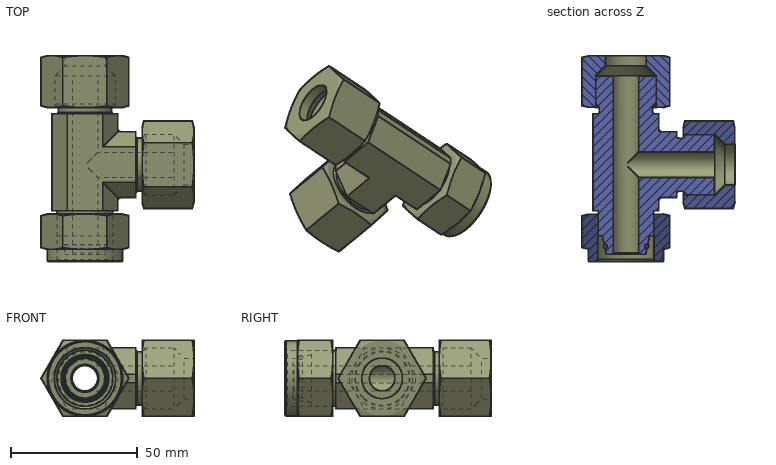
import cadquery as cq
import math

block_height = 24.2
block_width = 26.0
run_front = 18.2
arm_reach = 20.1
corner_web = 1.2
bore_radius = 5.0

nut_flats = 30.0
nut_start = 22.5
nut_end = 43.0
hex_face_radius = 14.8
hex_chamfer_depth = 0.7
thread_radius = 12.0
tube_radius = 8.0
bore_taper_end = 39.0

relief_radius = 10.55
relief_root_radius = 10.9
relief_root_length = 0.6
relief_end = nut_start
stub_end = 35.0

spigot_radius = 11.05
cone_half_angle = 12.0
cone_tip = 35.3
cone_tip_radius = 7.85
cone_base_radius = 9.4
bore_chamfer = 0.5

ring_section_radius = 0.75
ring_outer_radius = 9.0
ring_offset = 3.1

swivel_start = 19.4
swivel_hex_end = 33.4
swivel_end = 38.35
collar_radius = 14.9
collar_chamfer = 0.5
mouth_radius = 12.1
mouth_chamfer_depth = 1.0

cone_length = (cone_base_radius - cone_tip_radius) / math.tan(math.radians(cone_half_angle))
spigot_end = cone_tip - cone_length
ring_radius = ring_outer_radius - ring_section_radius
ring_position = cone_tip - ring_offset


def hexagon(across_flats, start, end):
    """Hexagonal bar along Z with corners on the X axis."""
    across_corners = across_flats / math.cos(math.pi / 6)
    return cq.Workplane("XY").workplane(offset=start).polygon(6, across_corners).extrude(end - start)


def revolved(points):
    """Solid of revolution about Z from (radius, height) points."""
    return cq.Workplane("XZ").polyline(points).close().revolve(360, (0, 0, 0), (0, 1, 0))


def cylinder(radius, start, end):
    return cq.Workplane("XY").workplane(offset=start).circle(radius).extrude(end - start)


def toward_front(shape):
    return shape.rotate((0, 0, 0), (1, 0, 0), 90)


def toward_back(shape):
    return shape.rotate((0, 0, 0), (1, 0, 0), -90)


def toward_branch(shape):
    return toward_back(shape).rotate((0, 0, 0), (0, 0, 1), -90)


def chamfered_hexagon(start, end):
    """Nut hexagon with the corners turned off conically at both ends."""
    corner_radius = nut_flats / 2 / math.cos(math.pi / 6)
    envelope = revolved([
        (0, start),
        (hex_face_radius, start),
        (corner_radius, start + hex_chamfer_depth),
        (corner_radius, end - hex_chamfer_depth),
        (hex_face_radius, end),
        (0, end),
    ])
    return hexagon(nut_flats, start, end).intersect(envelope)


def make_tube_nut():
    opening = revolved([
        (0, nut_start),
        (thread_radius, nut_start),
        (thread_radius, stub_end),
        (tube_radius, bore_taper_end),
        (tube_radius, nut_end),
        (0, nut_end),
    ])
    return chamfered_hexagon(nut_start, nut_end).cut(opening)


def make_swivel_nut():
    collar = cylinder(collar_radius, swivel_hex_end - hex_chamfer_depth, swivel_end)
    collar = collar.faces(">Z").chamfer(collar_chamfer)
    opening = revolved([
        (0, swivel_start),
        (spigot_radius, swivel_start),
        (spigot_radius, swivel_end - mouth_chamfer_depth),
        (mouth_radius, swivel_end),
        (0, swivel_end),
    ])
    return chamfered_hexagon(swivel_start, swivel_hex_end).union(collar).cut(opening)


def make_o_ring():
    section = cq.Workplane("XZ").center(ring_radius, ring_position).circle(ring_section_radius)
    return section.revolve(360, (-ring_radius, 0, 0), (-ring_radius, 1, 0))


def block_arm(start, end):
    """Hexagonal bar with its two side corners cut flat."""
    limits = cq.Workplane("XY").workplane(offset=start)
    limits = limits.rect(block_width, block_height).extrude(end - start)
    return hexagon(block_height, start, end).intersect(limits)


def make_threaded_stub():
    relief_start = arm_reach + relief_root_length
    thread_start = relief_end + thread_radius - relief_radius
    return revolved([
        (0, 0),
        (relief_root_radius, 0),
        (relief_root_radius, arm_reach),
        (relief_radius, relief_start),
        (relief_radius, relief_end),
        (thread_radius, thread_start),
        (thread_radius, stub_end),
        (0, stub_end),
    ])


def make_cone_spigot():
    return revolved([
        (0, 0),
        (spigot_radius, 0),
        (spigot_radius, spigot_end),
        (cone_base_radius, spigot_end),
        (cone_tip_radius, cone_tip),
        (0, cone_tip),
    ])


def make_corner_web(side):
    """Small concave web where the side flats of run and branch meet."""
    half = block_width / 2
    flat_height = (block_height / math.cos(math.pi / 6) - block_width) * math.sqrt(3)
    arc_inset = corner_web * (1 - math.sqrt(0.5))
    return (
        cq.Workplane("XY").workplane(offset=-flat_height / 2)
        .moveTo(half, side * half)
        .lineTo(half + corner_web, side * half)
        .threePointArc((half + arc_inset, side * (half + arc_inset)), (half, side * (half + corner_web)))
        .close()
        .extrude(flat_height)
    )


def make_tee_body(ring):
    body = toward_back(block_arm(-run_front, arm_reach))
    body = body.union(toward_branch(block_arm(0, arm_reach)))
    for side in (-1, 1):
        body = body.union(make_corner_web(side))

    stub = make_threaded_stub()
    body = body.union(toward_back(stub)).union(toward_branch(stub))
    body = body.union(toward_front(make_cone_spigot()))

    arm_bore = cylinder(bore_radius, 0, stub_end)
    front_bore = revolved([
        (0, 0),
        (bore_radius, 0),
        (bore_radius, cone_tip - bore_chamfer),
        (bore_radius + bore_chamfer, cone_tip),
        (0, cone_tip),
    ])
    body = body.cut(toward_back(arm_bore)).cut(toward_branch(arm_bore)).cut(toward_front(front_bore))
    return body.cut(ring)


o_ring = toward_front(make_o_ring())
tee_body = make_tee_body(o_ring)
swivel_nut = toward_front(make_swivel_nut())
tube_nuts = [place(make_tube_nut()) for place in (toward_back, toward_branch)]

result = cq.Compound.makeCompound([
    tee_body.val(),
    o_ring.val(),
    swivel_nut.val(),
    *[nut.val() for nut in tube_nuts],
])